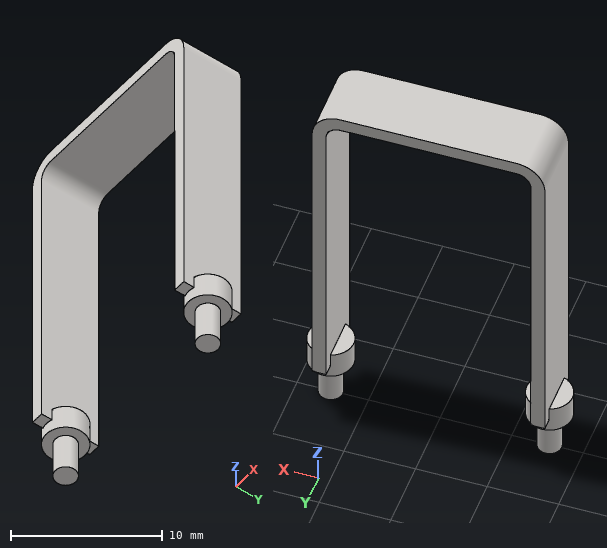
import cadquery as cq

total_height = 28.4
pin_spacing = 15.28

strap_thickness = 1.0
strap_width = 4.8
strap_bottom = 4.0
outer_bend_radius = 2.0
inner_bend_radius = outer_bend_radius - strap_thickness
strap_span = pin_spacing + strap_thickness
inner_span = pin_spacing - strap_thickness

pin_diameter = 1.7
collar_diameter = 3.2
collar_bottom = 3.0
collar_height = 2.0


def arch(span, top, bend_radius):
    """Solid block with rounded upper corners, standing on the strap's lower end."""
    height = top - strap_bottom
    return (
        cq.Workplane("XY")
        .box(span, strap_width, height, centered=(True, True, False))
        .edges("|Y and >Z")
        .fillet(bend_radius)
        .translate((0, 0, strap_bottom))
    )


def stepped_pin(x):
    """Slim pin with a collar that wraps the end of a strap leg."""
    pin = cq.Workplane("XY").center(x, 0).circle(pin_diameter / 2).extrude(collar_bottom)
    collar = (
        cq.Workplane("XY", origin=(x, 0, collar_bottom))
        .circle(collar_diameter / 2)
        .extrude(collar_height)
    )
    return pin.union(collar)


outer_arch = arch(strap_span, total_height, outer_bend_radius)
inner_arch = arch(inner_span, total_height - strap_thickness, inner_bend_radius)
result = outer_arch.cut(inner_arch)

for side in (-1, 1):
    result = result.union(stepped_pin(side * pin_spacing / 2))